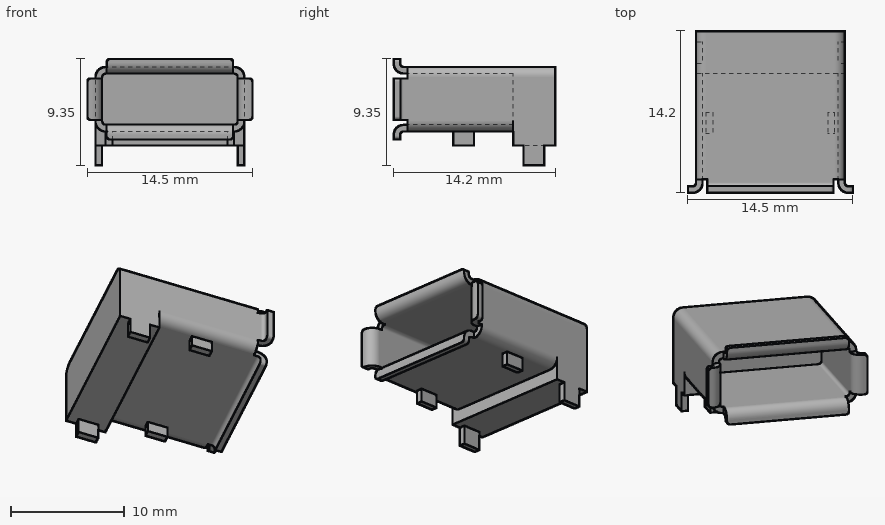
import cadquery as cq

shell_width = 13.08
shell_height = 5.67
shell_depth = 12.99
wall = 0.6
inner_radius = 0.3
outer_radius = inner_radius + wall

total_width = 14.5
lip_rise = (total_width - shell_width) / 2
lip_lead = 0.3
lip_corner_radius = 0.3
top_lip_gap = 0.09
side_lip_gap = 0.1

block_depth = 3.7
block_drop = 1.23

total_height = 9.35
tab_length = 1.85
leg_setback = 0.95
leg_drop = total_height - lip_rise - shell_height - block_drop

standoff_setback = 7.12

half_width = shell_width / 2
half_height = shell_height / 2
floor_z = -half_height
block_bottom_z = floor_z - block_drop


def box_between(x_min, x_max, y_min, y_max, z_min, z_max):
    """Axis-aligned box given by its limits."""
    size = (x_max - x_min, y_max - y_min, z_max - z_min)
    return cq.Workplane("XY").box(*size, centered=False).translate((x_min, y_min, z_min))


def rounded_bar(width, height, radius, y_front, length):
    """Rounded rectangular bar running from y_front toward +Y."""
    bar = cq.Workplane("XY").box(width, length, height).edges("|Y").fillet(radius)
    return bar.translate((0, y_front + length / 2, 0))


def make_lip(wall_distance, length):
    """Lip on the +Z side whose outer sheet face lies wall_distance from the tube axis."""
    bend_y = -shell_depth - lip_lead
    tip_y = bend_y - outer_radius
    inside_z = wall_distance - wall
    tip_z = wall_distance + lip_rise
    diagonal = 0.5 ** 0.5
    bend_center_z = wall_distance + inner_radius

    def bend_middle(radius):
        return bend_y - radius * diagonal, bend_center_z - radius * diagonal

    lip = (
        cq.Workplane("YZ")
        .moveTo(-shell_depth, inside_z)
        .lineTo(bend_y, inside_z)
        .threePointArc(bend_middle(outer_radius), (tip_y, bend_center_z))
        .lineTo(tip_y, tip_z)
        .lineTo(tip_y + wall, tip_z)
        .lineTo(tip_y + wall, bend_center_z)
        .threePointArc(bend_middle(inner_radius), (bend_y, wall_distance))
        .lineTo(-shell_depth, wall_distance)
        .close()
        .extrude(length / 2, both=True)
    )
    return lip.faces(">Z").edges("|Y").fillet(lip_corner_radius)


def make_shell():
    """Tube with its cavity ending at the rear block."""
    cavity_depth = shell_depth - block_depth
    tube = rounded_bar(shell_width, shell_height, outer_radius, -shell_depth, shell_depth)
    cavity = rounded_bar(
        shell_width - 2 * wall, shell_height - 2 * wall, inner_radius, -shell_depth, cavity_depth
    )
    return tube.cut(cavity)


def make_tab(x_outer, setback, z_top, z_bottom):
    """One sheet-thick tab on the -X side, hanging from z_top to z_bottom."""
    return box_between(
        x_outer, x_outer + wall, -setback - tab_length, -setback, z_bottom, z_top
    )


result = make_shell()

result = result.union(
    box_between(-half_width, half_width, -block_depth, 0, block_bottom_z, 0)
)

top_lip = make_lip(half_height, shell_width - 2 * (outer_radius + top_lip_gap))
side_lip = make_lip(half_width, shell_height - 2 * (outer_radius + side_lip_gap))
for lip, angles in ((top_lip, (0, 180)), (side_lip, (90, -90))):
    for angle in angles:
        result = result.union(lip.rotate((0, 0, 0), (0, 1, 0), angle))

leg = make_tab(-half_width, leg_setback, block_bottom_z, block_bottom_z - leg_drop)
standoff = make_tab(
    -half_width + outer_radius, standoff_setback, floor_z + wall, block_bottom_z
)
for tab in (leg, standoff):
    result = result.union(tab).union(tab.mirror("YZ"))